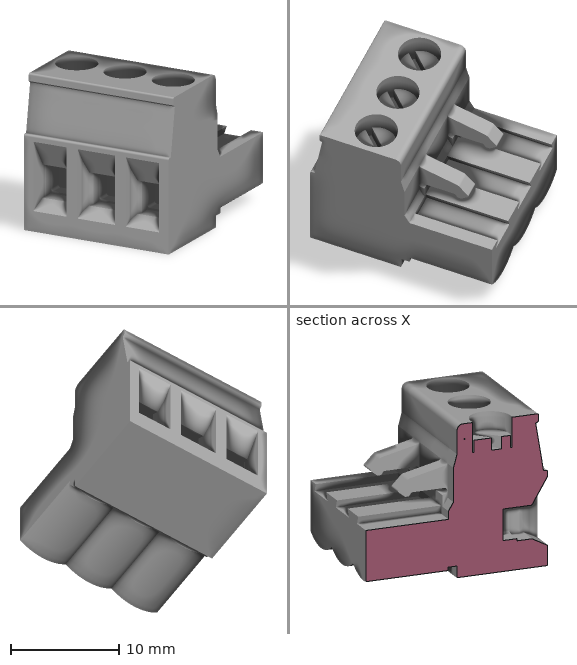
import cadquery as cq
import math


POLES = 3
PITCH = 5.08
WIDTH = POLES * PITCH
LENGTH = 18.3
HEIGHT = 15.0
POLE_CENTRES = [(pole + 0.5) * PITCH for pole in range(POLES)]

SHELF_Z = 9.36
SHELF_DEPTH = 0.42
SHELF_ROUND = 0.2
LIP_Y = 0.93
LIP_BOTTOM_Z = 14.25
LIP_UNDERCUT = 0.27
LIP_UNDERCUT_HEIGHT = 0.2
LIP_ROUND = 0.17
BODY_BACK_Y = 9.14
BACK_TOP_ROUND = 0.6
BACK_SLOPE_TOP_Z = 12.1
BACK_SLOPE_BOTTOM_Z = 10.8
NECK_Y = 9.5
NECK_BOTTOM_Z = 7.46
NECK_UNDERSIDE_Z = 1.14

PLUG_Y = 10.0
PLUG_TOP_Z = 6.64
PLUG_SIDE_BOTTOM_Z = 1.7
PLUG_BOTTOM_Z = 0.79
GROOVE_DEPTH = 0.78
GROOVE_UNDERCUT = 0.29
GROOVE_WIDTH = PITCH / 2

LATCH_WIDTH = 1.6
LATCH_SPACING = 6.65
LATCH_CENTRES = [WIDTH / 2 + side * LATCH_SPACING / 2 for side in (-1, 1)]
LATCH_ROOT_Z = 10.65
LATCH_FILLET = 0.25
LATCH_SHOULDER = (13.4, 9.79)
LATCH_SHOULDER_ROUND = 0.6
LATCH_TIP = (14.5, 8.68)
LATCH_TIP_ROUND = 0.15
LATCH_HOOK_Z = 8.07
LATCH_HOOK_OUTER_Y = 13.72
LATCH_HOOK_INNER_Y = 13.35
LATCH_UNDERSIDE_Z = 8.43
LATCH_UNDERSIDE_END_Y = 13.07
LATCH_NOTCH_RADIUS = 0.31
LATCH_FOOT_Z = 7.76

SCREW_Y = 5.57
SCREW_HOLE_DIAMETER = 4.0
SCREW_HEAD_DIAMETER = 3.82
SCREW_HEAD_DEPTH = 1.75
SCREW_SLOT_WIDTH = 0.66
SCREW_SLOT_DEPTH = 1.2
SCREW_SLOT_ANGLE = 45

ENTRY_HALF_WIDTH = 1.965
ENTRY_SIDE_WALL = 1.0
FLARE_SIDE_WALL = 1.12
ENTRY_BOTTOM_Z = 2.0
ENTRY_TOP_Z = 8.75
MOUTH_DEPTH = 0.85
MOUTH_HALF_WIDTH = 1.89
FLARE_DEPTH = 1.6
FLARE_HALF_WIDTH = 1.61
THROAT_BOTTOM_Z = 2.86
THROAT_TOP_Z = 6.1
THROAT_HALF_WIDTH = 1.4
THROAT_START_Y = 2.05
THROAT_END_Y = 3.1
CLAMP_HALF_WIDTH = 1.36
CLAMP_BOTTOM_Z = 3.07
CLAMP_CORNER_RADIUS = 0.25
CLAMP_END_Y = 4.5


def across(profile, x_start, width):
    """Extrude a closed (Y, Z) sketch along X."""
    return profile.close().extrude(width).translate((x_start, 0, 0))


def make_body():
    """Housing cross-section, constant over the full width."""
    profile = (
        cq.Workplane("YZ")
        .moveTo(0, 0)
        .lineTo(0, SHELF_Z - SHELF_ROUND)
        .radiusArc((SHELF_ROUND, SHELF_Z), SHELF_ROUND)
        .lineTo(SHELF_DEPTH, SHELF_Z)
        .lineTo(LIP_Y + LIP_UNDERCUT, LIP_BOTTOM_Z - LIP_UNDERCUT_HEIGHT)
        .lineTo(LIP_Y, LIP_BOTTOM_Z)
        .lineTo(LIP_Y, HEIGHT - LIP_ROUND)
        .radiusArc((LIP_Y + LIP_ROUND, HEIGHT), LIP_ROUND)
        .lineTo(BODY_BACK_Y - BACK_TOP_ROUND, HEIGHT)
        .radiusArc((BODY_BACK_Y, HEIGHT - BACK_TOP_ROUND), BACK_TOP_ROUND)
        .lineTo(BODY_BACK_Y, BACK_SLOPE_TOP_Z)
        .lineTo(NECK_Y, BACK_SLOPE_BOTTOM_Z)
        .lineTo(NECK_Y, NECK_BOTTOM_Z)
        .lineTo(PLUG_Y, PLUG_TOP_Z)
        .lineTo(PLUG_Y, NECK_UNDERSIDE_Z)
        .lineTo(BODY_BACK_Y, NECK_UNDERSIDE_Z)
        .lineTo(BODY_BACK_Y, 0)
    )
    return across(profile, 0, WIDTH)


def make_groove(x_start):
    """Dovetail groove, open at the plug top and wider at its floor."""
    floor_z = PLUG_TOP_Z - GROOVE_DEPTH
    return (
        cq.Workplane("XZ", origin=(0, LENGTH, 0))
        .moveTo(x_start, PLUG_TOP_Z)
        .lineTo(x_start - GROOVE_UNDERCUT, floor_z)
        .lineTo(x_start + GROOVE_WIDTH + GROOVE_UNDERCUT, floor_z)
        .lineTo(x_start + GROOVE_WIDTH, PLUG_TOP_Z)
        .close()
        .extrude(LENGTH - PLUG_Y)
    )


def make_plug():
    """Plug block with a convex underside and one top groove per pole."""
    outline = (
        cq.Workplane("XZ", origin=(0, LENGTH, 0))
        .moveTo(WIDTH, PLUG_SIDE_BOTTOM_Z)
        .lineTo(WIDTH, PLUG_TOP_Z)
        .lineTo(0, PLUG_TOP_Z)
        .lineTo(0, PLUG_SIDE_BOTTOM_Z)
    )
    for centre in POLE_CENTRES:
        arc_end = (centre + PITCH / 2, PLUG_SIDE_BOTTOM_Z)
        outline = outline.threePointArc((centre, PLUG_BOTTOM_Z), arc_end)
    plug = outline.close().extrude(LENGTH - PLUG_Y)
    for centre in POLE_CENTRES:
        plug = plug.cut(make_groove(centre - GROOVE_WIDTH / 2))
    return plug


def make_latch(centre):
    """Hooked arm growing out of the neck, with a rounded notch at its root."""
    notch_y = NECK_Y + LATCH_NOTCH_RADIUS
    notch_z = LATCH_UNDERSIDE_Z - LATCH_NOTCH_RADIUS
    notch_bottom_z = LATCH_UNDERSIDE_Z - 2 * LATCH_NOTCH_RADIUS
    root_slope = (LATCH_ROOT_Z - LATCH_SHOULDER[1]) / (LATCH_SHOULDER[0] - NECK_Y)
    fillet_end_z = LATCH_ROOT_Z - root_slope * LATCH_FILLET
    profile = (
        cq.Workplane("YZ")
        .moveTo(BODY_BACK_Y, BACK_SLOPE_BOTTOM_Z)
        .lineTo(NECK_Y, BACK_SLOPE_BOTTOM_Z)
        .radiusArc((NECK_Y + LATCH_FILLET, fillet_end_z), -LATCH_FILLET * math.sqrt(2))
        .lineTo(*LATCH_SHOULDER)
        .lineTo(*LATCH_TIP)
        .lineTo(LATCH_HOOK_OUTER_Y, LATCH_HOOK_Z)
        .lineTo(LATCH_HOOK_INNER_Y, LATCH_HOOK_Z)
        .lineTo(LATCH_UNDERSIDE_END_Y, LATCH_UNDERSIDE_Z)
        .lineTo(notch_y, LATCH_UNDERSIDE_Z)
        .threePointArc((NECK_Y, notch_z), (notch_y, notch_bottom_z))
        .lineTo(PLUG_Y, LATCH_FOOT_Z)
        .lineTo(PLUG_Y, PLUG_TOP_Z)
        .lineTo(BODY_BACK_Y, PLUG_TOP_Z)
    )
    latch = across(profile, centre - LATCH_WIDTH / 2, LATCH_WIDTH)
    shoulder = cq.selectors.NearestToPointSelector((centre, *LATCH_SHOULDER))
    latch = latch.edges(shoulder).fillet(LATCH_SHOULDER_ROUND)
    return latch.edges(">Y").fillet(LATCH_TIP_ROUND)


def make_screw_cut(centre):
    """Hole above the screw head, the thin gap around the head, and its slot."""
    head_z = HEIGHT - SCREW_HEAD_DEPTH
    bottom_z = head_z - SCREW_SLOT_DEPTH
    hole = (
        cq.Workplane("XY", origin=(centre, SCREW_Y, bottom_z))
        .circle(SCREW_HOLE_DIAMETER / 2)
        .extrude(HEIGHT - bottom_z)
    )
    head = (
        cq.Workplane("XY", origin=(centre, SCREW_Y, bottom_z))
        .circle(SCREW_HEAD_DIAMETER / 2)
        .extrude(SCREW_SLOT_DEPTH)
    )
    slot = (
        cq.Workplane("XY")
        .rect(SCREW_HOLE_DIAMETER, SCREW_SLOT_WIDTH)
        .extrude(SCREW_SLOT_DEPTH)
        .rotate((0, 0, 0), (0, 0, 1), SCREW_SLOT_ANGLE)
        .translate((centre, SCREW_Y, bottom_z))
    )
    return hole.cut(head.cut(slot))


def make_entry(centre):
    """Wire funnel narrowing in steps to a throat, plus the clamp opening behind it."""
    right_wall = [
        (ENTRY_HALF_WIDTH, 0),
        (MOUTH_HALF_WIDTH, MOUTH_DEPTH),
        (FLARE_HALF_WIDTH, FLARE_DEPTH),
        (THROAT_HALF_WIDTH, THROAT_START_Y),
        (THROAT_HALF_WIDTH, THROAT_END_Y),
    ]
    left_wall = [(-x, y) for x, y in reversed(right_wall)]
    plan = (
        cq.Workplane("XY", origin=(centre, 0, 0))
        .polyline(right_wall + left_wall)
        .close()
        .extrude(HEIGHT)
    )
    side = across(
        cq.Workplane("YZ")
        .moveTo(0, ENTRY_BOTTOM_Z)
        .lineTo(FLARE_DEPTH, THROAT_BOTTOM_Z)
        .lineTo(THROAT_END_Y, THROAT_BOTTOM_Z)
        .lineTo(THROAT_END_Y, THROAT_TOP_Z)
        .lineTo(FLARE_DEPTH, THROAT_TOP_Z)
        .lineTo(0, ENTRY_TOP_Z),
        0,
        WIDTH,
    )
    between_walls = (
        cq.Workplane("XY")
        .moveTo(ENTRY_SIDE_WALL, 0)
        .lineTo(WIDTH - ENTRY_SIDE_WALL, 0)
        .lineTo(WIDTH - FLARE_SIDE_WALL, FLARE_DEPTH)
        .lineTo(WIDTH - FLARE_SIDE_WALL, THROAT_END_Y)
        .lineTo(FLARE_SIDE_WALL, THROAT_END_Y)
        .lineTo(FLARE_SIDE_WALL, FLARE_DEPTH)
        .close()
        .extrude(HEIGHT)
    )
    clamp_height = THROAT_TOP_Z - CLAMP_BOTTOM_Z
    clamp_depth = CLAMP_END_Y - THROAT_END_Y
    clamp = (
        cq.Workplane("XY")
        .box(2 * CLAMP_HALF_WIDTH, clamp_depth, clamp_height, centered=(True, False, False))
        .edges("|Y and <Z")
        .fillet(CLAMP_CORNER_RADIUS)
        .translate((centre, THROAT_END_Y, CLAMP_BOTTOM_Z))
    )
    return plan.intersect(side).intersect(between_walls).union(clamp)


result = make_body().union(make_plug())
for latch_centre in LATCH_CENTRES:
    result = result.union(make_latch(latch_centre))
for pole_centre in POLE_CENTRES:
    result = result.cut(make_screw_cut(pole_centre))
    result = result.cut(make_entry(pole_centre))